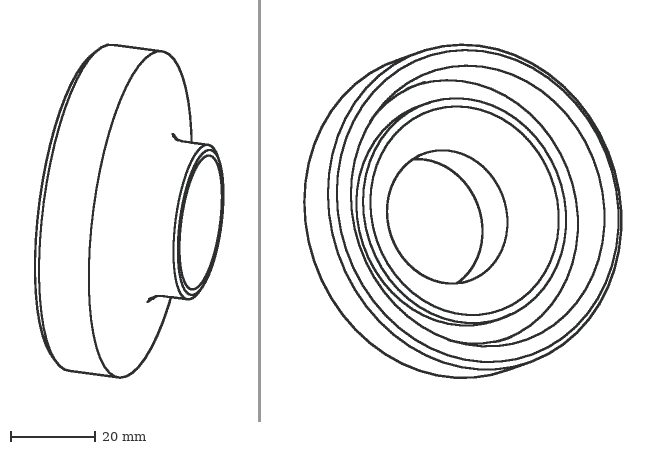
import cadquery as cq
import math

total_length = 29.0
flange_radius = 39.0
rim_length = 14.0
rim_chamfer = 1.55

neck_radius = 18.5
neck_chamfer_length = 0.7
neck_chamfer_height = 1.2
back_angle = math.radians(10)
neck_fillet = 5.0

mouth_radius = 33.7
groove_outer_radius = 31.9
groove_inner_radius = 27.0
mouth_depth = 6.9
groove_depth = 10.4

bore_radius = 16.0
flare_length = 9.05


def revolve_about_x(profile):
    """Turn a profile of (X, radius) points around the X axis."""
    return profile.close().revolve(360, (0, 0, 0), (1, 0, 0))


def make_body():
    """Solid flange and neck, with the back cone blended into the neck."""
    back_rise = (flange_radius - neck_radius) * math.tan(back_angle)
    neck_start = rim_length + back_rise
    profile = (
        cq.Workplane("XY")
        .moveTo(0, 0)
        .lineTo(0, flange_radius - rim_chamfer)
        .lineTo(rim_chamfer, flange_radius)
        .lineTo(rim_length, flange_radius)
        .lineTo(neck_start, neck_radius)
        .lineTo(total_length - neck_chamfer_length, neck_radius)
        .lineTo(total_length, neck_radius - neck_chamfer_height)
        .lineTo(total_length, 0)
    )
    corner_margin = 0.8
    neck_corner = cq.selectors.BoxSelector(
        (neck_start - corner_margin, -flange_radius, -flange_radius),
        (neck_start + corner_margin, flange_radius, flange_radius),
        boundingbox=False,
    )
    return revolve_about_x(profile).edges(neck_corner).fillet(neck_fillet)


def make_cavity():
    """Mouth, ring groove, flare and through bore as one revolved cutter."""
    flare_mouth_radius = bore_radius + flare_length
    flare_end = mouth_depth + flare_length
    profile = (
        cq.Workplane("XY")
        .moveTo(0, 0)
        .lineTo(0, mouth_radius)
        .lineTo(mouth_depth, groove_outer_radius)
        .lineTo(groove_depth, groove_outer_radius)
        .lineTo(groove_depth, groove_inner_radius)
        .lineTo(mouth_depth, groove_inner_radius)
        .lineTo(mouth_depth, flare_mouth_radius)
        .lineTo(flare_end, bore_radius)
        .lineTo(total_length, bore_radius)
        .lineTo(total_length, 0)
    )
    return revolve_about_x(profile)


result = make_body().cut(make_cavity())